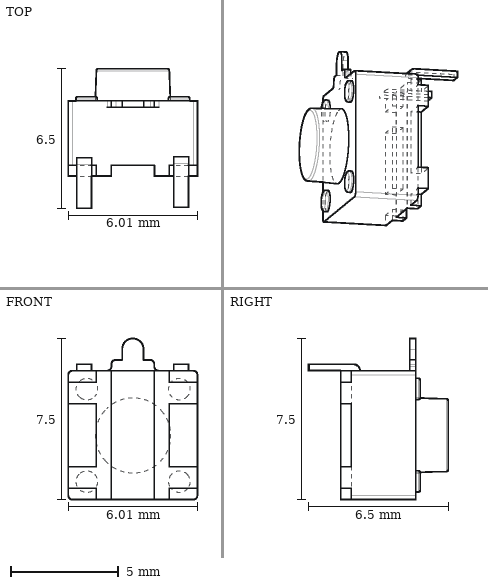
import cadquery as cq
import math

body_width = 6.01
body_height = 6.0
body_depth = 3.0
body_corner_radius = 0.2
half_width = body_width / 2
half_height = body_height / 2

back_relief = 0.5
channel_width = 2.0
rail_outer_x = 1.7
pad_height = 1.0
pad_center_z = 1.96

button_diameter = 3.5
button_height = 1.5
button_draft = 2.0
button_edge_radius = 0.1

rivet_diameter = 1.0
rivet_height = 0.2
rivet_edge_radius = 0.1
rivet_offset = 2.15

tab_thickness = 0.3
tab_height = 1.5
tab_stem_radius = 0.5
tab_shoulder_half_width = 1.0
tab_shoulder_height = 0.5
tab_fillet_radius = 0.2

lead_width = 0.7
lead_thickness = 0.3
lead_length = 2.35
left_lead_x = -2.26
left_lead_tip_y = -5.0
right_lead_x = 2.24
right_lead_tip_y = -4.95


def box(x_range, y_range, z_range):
    """Axis-aligned box between pairs of coordinates."""
    size = [high - low for low, high in (x_range, y_range, z_range)]
    corner = (x_range[0], y_range[0], z_range[0])
    return cq.Workplane("XY").box(*size, centered=False).translate(corner)


def make_housing():
    block = box((-half_width, half_width), (-body_depth, 0), (-half_height, half_height))
    return block.edges("|Y").fillet(body_corner_radius)


def make_back_relief():
    """Two full-height rails, each carrying an upper and a lower pad."""
    y_range = (-body_depth - back_relief, -body_depth)
    channel_edge = channel_width / 2
    right_side = box((channel_edge, rail_outer_x), y_range, (-half_height, half_height))
    for center_z in (-pad_center_z, pad_center_z):
        z_range = (center_z - pad_height / 2, center_z + pad_height / 2)
        right_side = right_side.union(box((channel_edge, half_width), y_range, z_range))
    return right_side.union(right_side.mirror("YZ"))


def make_button():
    button = cq.Workplane("XZ").circle(button_diameter / 2).extrude(-button_height, taper=button_draft)
    return button.faces(">Y").edges().fillet(button_edge_radius)


def make_rivet(x, z):
    rivet = cq.Workplane("XZ").center(x, z).circle(rivet_diameter / 2).extrude(-rivet_height)
    return rivet.faces(">Y").edges().fillet(rivet_edge_radius)


def make_tab():
    """Round-ended stem on a wider shoulder that flares out onto the housing."""
    radius = tab_fillet_radius
    diagonal = radius * math.cos(math.pi / 4)
    shoulder = tab_shoulder_half_width
    foot_x = shoulder + radius
    stem_top = half_height + tab_height - tab_stem_radius
    shoulder_top = half_height + tab_shoulder_height
    foot_top = half_height + radius
    shoulder_side_top = shoulder_top - radius
    round_x = shoulder - radius
    profile = (
        cq.Workplane("XZ")
        .moveTo(-foot_x, half_height)
        .threePointArc((-foot_x + diagonal, foot_top - diagonal), (-shoulder, foot_top))
        .lineTo(-shoulder, shoulder_side_top)
        .threePointArc((-round_x - diagonal, shoulder_side_top + diagonal), (-round_x, shoulder_top))
        .lineTo(-tab_stem_radius, shoulder_top)
        .lineTo(-tab_stem_radius, stem_top)
        .threePointArc((0, half_height + tab_height), (tab_stem_radius, stem_top))
        .lineTo(tab_stem_radius, shoulder_top)
        .lineTo(round_x, shoulder_top)
        .threePointArc((round_x + diagonal, shoulder_side_top + diagonal), (shoulder, shoulder_side_top))
        .lineTo(shoulder, foot_top)
        .threePointArc((foot_x - diagonal, foot_top - diagonal), (foot_x, half_height))
        .close()
    )
    return profile.extrude(tab_thickness)


def make_lead(center_x, tip_y):
    """Flat strip on the top face with its inner end rounded over a quarter circle."""
    bottom = half_height
    top = half_height + lead_thickness
    inner_y = tip_y + lead_length
    bend_start_y = inner_y - lead_thickness
    diagonal = lead_thickness * math.cos(math.pi / 4)
    profile = (
        cq.Workplane("YZ", origin=(center_x, 0, 0))
        .moveTo(tip_y, bottom)
        .lineTo(inner_y, bottom)
        .threePointArc((bend_start_y + diagonal, bottom + diagonal), (bend_start_y, top))
        .lineTo(tip_y, top)
        .close()
    )
    return profile.extrude(lead_width / 2, both=True)


result = make_housing().union(make_back_relief()).union(make_button())
for side_x in (-1, 1):
    for side_z in (-1, 1):
        result = result.union(make_rivet(side_x * rivet_offset, side_z * rivet_offset))
result = result.union(make_tab())
result = result.union(make_lead(left_lead_x, left_lead_tip_y))
result = result.union(make_lead(right_lead_x, right_lead_tip_y))